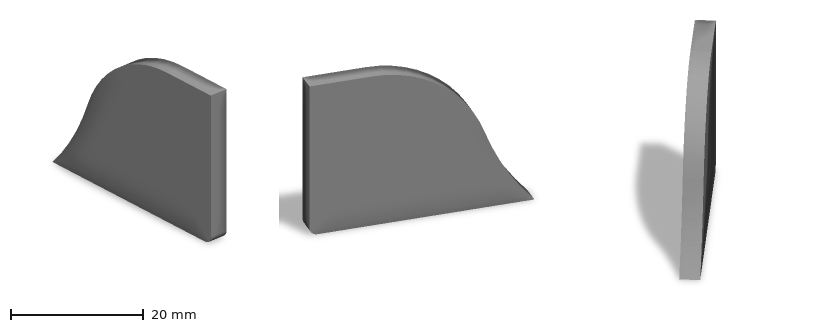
import cadquery as cq
import math

length = 35.88
height = 25.4
thickness = 3.175
top_flat = 10.05
crown_radius = 19.05
crown_end_angle = 20.3
corner_radius = 1.27

crown_center_x = length - top_flat
crown_center_z = height - crown_radius


def crown_point(angle_degrees):
    """Point on the crown arc, with the angle measured up from the -X direction."""
    angle = math.radians(angle_degrees)
    return (
        crown_center_x - crown_radius * math.cos(angle),
        crown_center_z + crown_radius * math.sin(angle),
    )


def side_profile():
    """Closed outline in the XZ plane: base, back edge, top, crown and concave flank."""
    crown_start = (crown_center_x, height)
    crown_middle = crown_point((crown_end_angle + 90) / 2)
    crown_end = crown_point(crown_end_angle)
    toe = (0, 0)
    return (
        cq.Workplane("XZ")
        .moveTo(*toe)
        .lineTo(length, 0)
        .lineTo(length, height)
        .lineTo(*crown_start)
        .threePointArc(crown_middle, crown_end)
        .tangentArcPoint(toe, relative=False)
        .close()
    )


def round_lower_back_corner(plate):
    """Round the edge where the base meets the back edge."""
    return plate.faces(">X").edges("<Z").fillet(corner_radius)


plate = side_profile().extrude(thickness / 2, both=True)
result = round_lower_back_corner(plate)